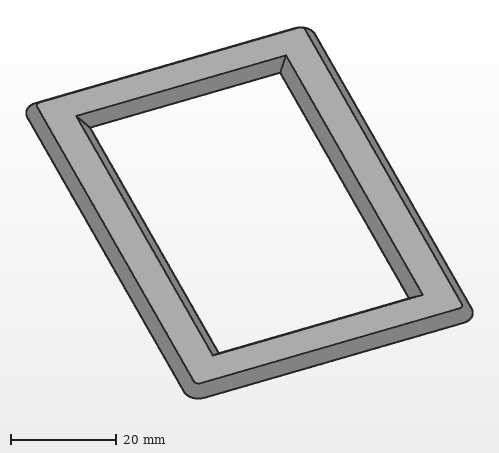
import cadquery as cq

length = 85.0
width = 59.0
thickness = 2.0

slope_angle = 45.0
corner_radius = 3.0

window_length = 69.0
window_width = 43.0


def bevelled_plate():
    """Rounded plate whose outer edge slopes inward towards the top."""
    outline = cq.Sketch().rect(length, width).vertices().fillet(corner_radius)
    return cq.Workplane("XY").placeSketch(outline).extrude(thickness, taper=slope_angle)


def window_cutter():
    """Sharp-cornered window that narrows from the top face to the bottom."""
    return (
        cq.Workplane("XY")
        .workplane(offset=thickness)
        .rect(window_length, window_width)
        .extrude(-thickness, taper=slope_angle)
    )


result = bevelled_plate().cut(window_cutter())